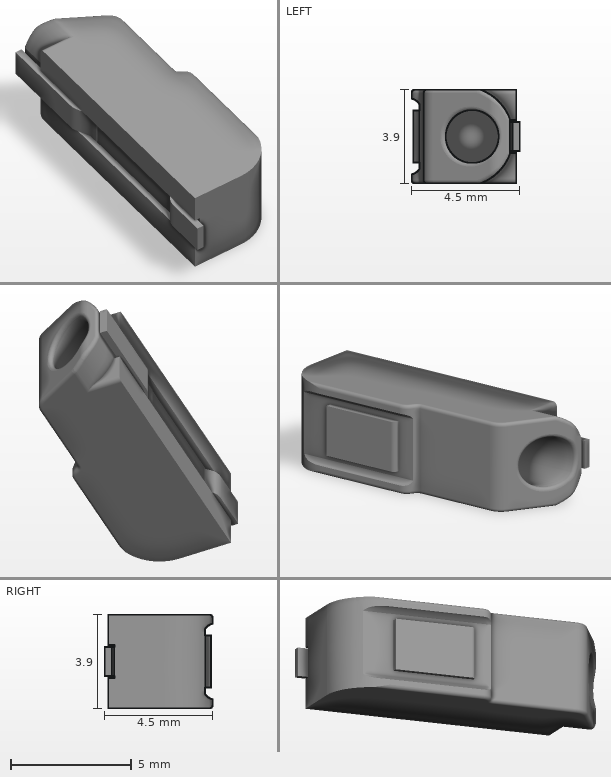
import cadquery as cq
import math


housing_length = 12.7
housing_width = 3.9
housing_height = 4.35
shelf_height = 3.85
slope_angle = math.radians(60)
slope_foot_y = 0.95
foot_radius = 0.7
brow_radius = 0.75
step_start_x = 5.8
step_hollow_radius = 0.2
step_crest_radius = 0.5
rear_corner_radius = 2.0
rim_radius = 0.15

nose_length = 1.6
nose_radius = 2.07
nose_axis_y = 2.2
nose_edge_radius = 0.33
shoulder_radius = 0.2

bore_diameter = 2.2
bore_axis_y = 1.83
bore_depth = 5.0
bore_mouth_radius = 0.15

slot_width = 1.36
slot_depth = 0.26

groove_floor_y = 4.03
groove_floor_width = 2.7
groove_mouth_width = 3.14
groove_wall_bulge = 0.04
button_width = 2.18
button_top_y = 4.28
button_front_x = 6.8
button_length = 3.6
button_front_radius = 0.2

lead_width = 1.22
lead_thickness = 0.3
lead_base_y = -0.15
lead_centre_y = lead_base_y + lead_thickness / 2
front_bend_x = 4.0
front_bend_angle = math.radians(25)
front_bend_radius = 0.55
front_ramp_length = 0.62
front_ramp_end_radius = 0.45
front_lead_end_x = 5.33
rear_lead_end_x = 13.1
rear_bend_x = 11.36
rear_bend_angle = math.radians(45)
rear_bend_radius = 0.75
rear_ramp_length = 0.6

half_width = housing_width / 2
nose_corner_y = nose_axis_y - math.sqrt(nose_radius**2 - half_width**2)
clearance = 1.0
edge_tolerance = 0.01


def bar(x_min, x_max, y_min, y_max, width):
    """Rectangular block centred on Z = 0."""
    block = cq.Workplane("XY").box(x_max - x_min, y_max - y_min, width, centered=(False, False, True))
    return block.translate((x_min, y_min, 0))


def housing_blank():
    """Side outline extruded to full width, with a square rear top corner."""
    sin_slope, cos_slope = math.sin(slope_angle), math.cos(slope_angle)
    tan_slope = math.tan(slope_angle)

    foot_tangent = foot_radius * math.tan((math.pi / 2 - slope_angle) / 2)
    foot_start = (0, slope_foot_y - foot_tangent)
    foot_end = (foot_tangent * cos_slope, slope_foot_y + foot_tangent * sin_slope)

    brow_tangent = brow_radius * math.tan(slope_angle / 2)
    brow_x = (shelf_height - slope_foot_y) / tan_slope
    brow_start = (brow_x - brow_tangent * cos_slope, shelf_height - brow_tangent * sin_slope)
    brow_end = (brow_x + brow_tangent, shelf_height)

    step_rise = housing_height - shelf_height
    ramp_rise = step_rise - (step_hollow_radius + step_crest_radius) * (1 - cos_slope)
    hollow_end = (
        step_start_x + step_hollow_radius * sin_slope,
        shelf_height + step_hollow_radius * (1 - cos_slope),
    )
    crest_start = (hollow_end[0] + ramp_rise / tan_slope, hollow_end[1] + ramp_rise)
    crest_end = (crest_start[0] + step_crest_radius * sin_slope, housing_height)

    return (
        cq.Workplane("XY")
        .moveTo(0, 0)
        .lineTo(*foot_start)
        .radiusArc(foot_end, foot_radius)
        .lineTo(*brow_start)
        .radiusArc(brow_end, brow_radius)
        .lineTo(step_start_x, shelf_height)
        .radiusArc(hollow_end, -step_hollow_radius)
        .lineTo(*crest_start)
        .radiusArc(crest_end, step_crest_radius)
        .lineTo(housing_length, housing_height)
        .lineTo(housing_length, 0)
        .close()
        .extrude(half_width, both=True)
    )


def nose_trim():
    """Material to remove around the lower half of the rounded nose."""
    around = bar(-clearance, nose_length, -clearance, nose_corner_y, housing_width + 2 * clearance)
    nose = (
        cq.Workplane("YZ", origin=(-clearance, 0, 0))
        .center(nose_axis_y, 0)
        .circle(nose_radius)
        .extrude(nose_length + clearance)
    )
    flat_bottom = bar(-2 * clearance, nose_length, -clearance, slot_depth, housing_width)
    return around.cut(nose.cut(flat_bottom))


def slot():
    return bar(nose_length, housing_length + clearance, -clearance, slot_depth, slot_width)


def top_groove():
    """Groove with walls that bulge outward between floor and mouth."""
    floor_z = groove_floor_width / 2
    mouth_z = groove_mouth_width / 2
    return (
        cq.Workplane("YZ", origin=(step_start_x, 0, 0))
        .moveTo(groove_floor_y, -floor_z)
        .lineTo(groove_floor_y, floor_z)
        .sagittaArc((housing_height, mouth_z), groove_wall_bulge)
        .lineTo(housing_height + clearance, mouth_z)
        .lineTo(housing_height + clearance, -mouth_z)
        .lineTo(housing_height, -mouth_z)
        .sagittaArc((groove_floor_y, -floor_z), groove_wall_bulge)
        .close()
        .extrude(housing_length)
    )


def bore():
    return (
        cq.Workplane("YZ", origin=(-clearance, 0, 0))
        .center(bore_axis_y, 0)
        .circle(bore_diameter / 2)
        .extrude(bore_depth + clearance)
    )


def rear_corner_trim():
    """Block over the rear top corner, hollowed to leave the corner round."""
    corner_x = housing_length - rear_corner_radius
    corner_y = housing_height - rear_corner_radius
    block = bar(
        corner_x, housing_length + clearance,
        corner_y, housing_height + clearance,
        housing_width + clearance,
    )
    roller = cq.Workplane("XY").center(corner_x, corner_y).circle(rear_corner_radius)
    return block.cut(roller.extrude(housing_width, both=True))


def edge_box(corner_a, corner_b):
    """Selector for edges lying wholly within the box between two corners."""
    lower = tuple(min(a, b) - edge_tolerance for a, b in zip(corner_a, corner_b))
    upper = tuple(max(a, b) + edge_tolerance for a, b in zip(corner_a, corner_b))
    return cq.selectors.BoxSelector(lower, upper, boundingbox=True)


def round_shoulders(body):
    """Fillet the two edges on each side where the nose trim breaks the side face."""
    for z in (-half_width, half_width):
        root_edge = edge_box((nose_length, 0, z), (nose_length, nose_corner_y, z))
        body = body.edges(root_edge).fillet(shoulder_radius)
        nose_edge = edge_box((0, nose_corner_y, z), (nose_length + shoulder_radius, nose_corner_y, z))
        body = body.edges(nose_edge).fillet(nose_edge_radius)
    return body


def is_outline_face(face):
    """True for the faces running across the width from the nose up to the top."""
    center = face.Center()
    normal = face.normalAt(center)
    crosses_middle = abs(center.z) < edge_tolerance and abs(normal.z) < edge_tolerance
    is_nose_root = abs(center.x - nose_length) < edge_tolerance
    return crosses_middle and not is_nose_root and normal.x < edge_tolerance and normal.y > -edge_tolerance


def round_rim(body):
    outline = body.faces().filter(is_outline_face)
    nose_lip = body.faces("<X").edges("|Z and <Y")
    return outline.edges("not |Z").add(nose_lip).fillet(rim_radius)


def round_bore_mouth(body):
    bore_radius = bore_diameter / 2
    mouth = edge_box(
        (0, bore_axis_y - bore_radius, -bore_radius),
        (nose_length, bore_axis_y + bore_radius, bore_radius),
    )
    return body.edges(mouth).fillet(bore_mouth_radius)


def make_housing(leads):
    body = housing_blank().cut(nose_trim())
    body = round_shoulders(body)
    body = round_rim(body)
    body = body.cut(rear_corner_trim()).cut(top_groove()).cut(slot()).cut(bore())
    body = round_bore_mouth(body)
    for lead in leads:
        body = body.cut(lead)
    return body


def make_button():
    block = bar(button_front_x, button_front_x + button_length, groove_floor_y, button_top_y, button_width)
    return block.edges("<X and >Y").fillet(button_front_radius)


def bend(start, radius, angle, direction):
    """Point reached along X by an arc that turns between level and the given angle."""
    return (
        start[0] + direction * radius * math.sin(angle),
        start[1] + radius * (1 - math.cos(angle)),
    )


def ramp(start, length, angle, direction):
    """Point reached by a straight ramp."""
    return start[0] + direction * length * math.cos(angle), start[1] + length * math.sin(angle)


def lead_strip(centreline):
    """Flat strip of constant thickness following a centreline in the XY plane."""
    start = centreline.val().startPoint()
    section = cq.Workplane("YZ", origin=start.toTuple()).rect(lead_thickness, lead_width)
    return section.sweep(centreline)


def make_front_lead():
    """Strip along the mounting plane that ramps up into the slot and levels out again."""
    lower_radius = front_bend_radius - lead_thickness / 2
    upper_radius = front_ramp_end_radius + lead_thickness / 2
    bend_start = (front_bend_x, lead_centre_y)
    bend_end = bend(bend_start, lower_radius, front_bend_angle, 1)
    ramp_end = ramp(bend_end, front_ramp_length, front_bend_angle, 1)
    level_start = bend(ramp_end, upper_radius, front_bend_angle, 1)
    centreline = (
        cq.Workplane("XY")
        .moveTo(0, lead_centre_y)
        .lineTo(*bend_start)
        .radiusArc(bend_end, -lower_radius)
        .lineTo(*ramp_end)
        .radiusArc(level_start, upper_radius)
        .lineTo(front_lead_end_x, level_start[1])
        .wire()
    )
    return lead_strip(centreline)


def make_rear_lead():
    """Strip along the mounting plane that turns up into the housing."""
    radius = rear_bend_radius - lead_thickness / 2
    bend_start = (rear_bend_x, lead_centre_y)
    bend_end = bend(bend_start, radius, rear_bend_angle, -1)
    ramp_end = ramp(bend_end, rear_ramp_length, rear_bend_angle, -1)
    centreline = (
        cq.Workplane("XY")
        .moveTo(rear_lead_end_x, lead_centre_y)
        .lineTo(*bend_start)
        .radiusArc(bend_end, radius)
        .lineTo(*ramp_end)
        .wire()
    )
    return lead_strip(centreline)


front_lead = make_front_lead()
rear_lead = make_rear_lead()
button = make_button()
housing = make_housing([front_lead, rear_lead])

result = cq.Compound.makeCompound([housing.val(), front_lead.val(), rear_lead.val(), button.val()])